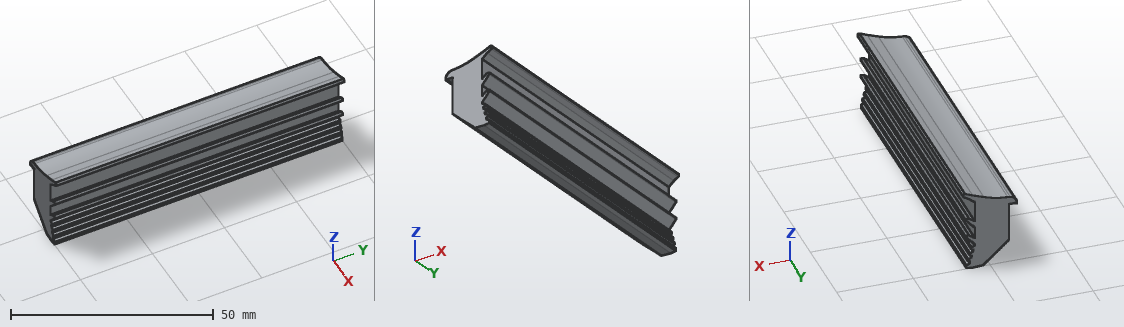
import cadquery as cq
import math

length = 80.0
overall_width = 14.12
overall_height = 21.78

body_width = 8.95
left_wall_height = 10.25
bottom_z = -16.5
foot_left = (6.75, -16.3)
foot_low = (9.6, bottom_z)
foot_right = (11.1, -16.3)

nose_x = -2.1
nose_radius = -nose_x
nose_center = (0, 0)
nose_mid_angle = 139
nose_end_angle = 97.5
bead_radius = 0.15
bead_center = (nose_x + bead_radius, 0)

top_start = (0.33, 2.13)
top_arc_mid = (3.6, 2.55)
top_arc_end = (6.59, 3.4)
flap_bend = (9.5, 4.45)
flap_tip_radius = 0.5
flap_tip_center = (
    nose_x + overall_width - flap_tip_radius,
    bottom_z + overall_height - flap_tip_radius,
)
flap_underside_angle = -60
flap_under_bend = (10.5, 3.6)
flap_root_z = 2.35

barb_root_z = -3.12
barb_pitch = 4.85
barb_knee = (1.45, 1.0)
barb_tip_start = (2.0, 1.05)
barb_tip_mid = (2.3, 0.8)
barb_tip_end = (2.15, 0.5)
barb_drop = 1.95

tooth_count = 3
tooth_root = (body_width, -10.15)
tooth_step = (0.44, -1.64)
tooth_upper_corner = (0.82, -0.35)
tooth_lower_corner = (0.97, -0.85)
tooth_throat = (0.32, -1.2)
foot_shoulder = (11.1, -15.5)


def offset(origin, delta):
    """Point displaced from an origin by a delta in X and Z."""
    return (origin[0] + delta[0], origin[1] + delta[1])


def on_circle(center, radius, angle):
    """Point on a circle, with the angle in degrees from +X towards +Z."""
    turn = math.radians(angle)
    return offset(center, (radius * math.cos(turn), radius * math.sin(turn)))


def add_top(profile):
    """Left lip, concave top surface and rounded flap, ending at the right wall."""
    return (
        profile.lineTo(*on_circle(bead_center, bead_radius, 0))
        .threePointArc(
            on_circle(bead_center, bead_radius, -90),
            on_circle(bead_center, bead_radius, 180),
        )
        .threePointArc(
            on_circle(nose_center, nose_radius, nose_mid_angle),
            on_circle(nose_center, nose_radius, nose_end_angle),
        )
        .lineTo(*top_start)
        .threePointArc(top_arc_mid, top_arc_end)
        .lineTo(*flap_bend)
        .lineTo(*on_circle(flap_tip_center, flap_tip_radius, 90))
        .threePointArc(
            on_circle(flap_tip_center, flap_tip_radius, 0),
            on_circle(flap_tip_center, flap_tip_radius, flap_underside_angle),
        )
        .lineTo(*flap_under_bend)
        .lineTo(body_width, flap_root_z)
    )


def add_barb(profile, root_z):
    """Hooked barb pointing outwards and upwards from the right wall."""
    root = (body_width, root_z)
    return (
        profile.lineTo(*root)
        .lineTo(*offset(root, barb_knee))
        .lineTo(*offset(root, barb_tip_start))
        .threePointArc(offset(root, barb_tip_mid), offset(root, barb_tip_end))
        .lineTo(body_width, root_z - barb_drop)
    )


def tooth_root_at(index):
    """Upper root of a tooth; the index after the last tooth gives the foot's root."""
    return offset(tooth_root, (index * tooth_step[0], index * tooth_step[1]))


def add_tooth(profile, index):
    """One gripping tooth, from its root to the throat above the next tooth."""
    root = tooth_root_at(index)
    return (
        profile.lineTo(*root)
        .lineTo(*offset(root, tooth_upper_corner))
        .lineTo(*offset(root, tooth_lower_corner))
        .lineTo(*offset(root, tooth_throat))
    )


def add_foot(profile):
    """Bottom foot and sloped face back up to the left wall."""
    return (
        profile.lineTo(*tooth_root_at(tooth_count))
        .lineTo(*foot_shoulder)
        .lineTo(*foot_right)
        .lineTo(*foot_low)
        .lineTo(*foot_left)
        .lineTo(0, -left_wall_height)
        .close()
    )


outline = add_top(cq.Workplane("XZ").moveTo(0, 0))
for barb_z in (barb_root_z, barb_root_z - barb_pitch):
    outline = add_barb(outline, barb_z)
for tooth in range(tooth_count):
    outline = add_tooth(outline, tooth)
outline = add_foot(outline)

result = outline.extrude(-length)